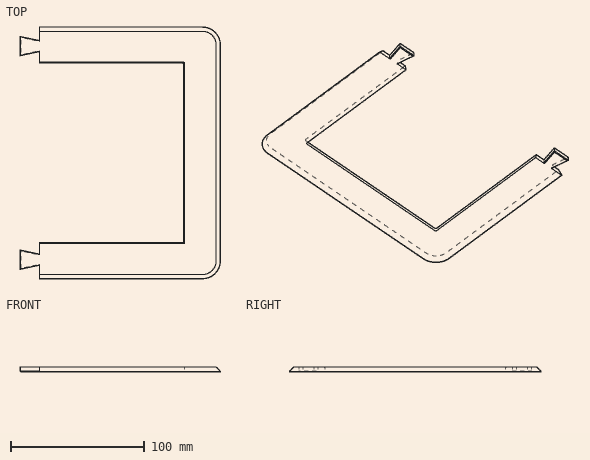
import cadquery as cq

length = 150.5
width = 189.0
thickness = 3.8

corner_radius = 13.6
lip_height = 0.5
bevel_height = thickness - lip_height
bevel_width = 3.4

arm_width = 27.2
opening_width = width - 2 * arm_width
opening_end = 122.8
wall_lean = 0.8
opening_corner_radius = 1.0

tail_length = 14.5
tail_neck_width = 8.3
tail_end_width = 14.5
tail_center_offset = width / 2 - 14.4
tail_bottom_chamfer = 0.5


def make_plate():
    """Solid plate with rounded far corners and a bevel along its three outer edges."""
    plate = (
        cq.Workplane("XY")
        .box(length - tail_length, width, thickness, centered=(False, True, False))
        .translate((tail_length, 0, 0))
        .edges("|Z and >X")
        .fillet(corner_radius)
    )
    return plate.faces(">Z").edges("not <X").chamfer(bevel_height, bevel_width)


def opening_outline(plane, lean):
    """Rectangle open towards the arm ends, enlarged by the wall lean."""
    depth = opening_end + lean
    return plane.center(depth / 2, 0).rect(depth, opening_width + 2 * lean)


def make_opening():
    """Cutter for the opening, wider at the top than at the bottom."""
    bottom = opening_outline(cq.Workplane("XY"), 0)
    top_plane = bottom.workplane(offset=thickness, origin=(0, 0, 0))
    cutter = opening_outline(top_plane, wall_lean).loft(ruled=True)
    return cutter.edges("not #Z").edges(">X").fillet(opening_corner_radius)


def make_tail(center_y):
    """Dovetail tongue, widening away from the arm, chamfered along its exposed bottom edges."""
    neck = tail_neck_width / 2
    end = tail_end_width / 2
    return (
        cq.Workplane("XY")
        .polyline([(tail_length, -neck), (0, -end), (0, end), (tail_length, neck)])
        .close()
        .extrude(thickness)
        .faces("<Z")
        .edges("not >X")
        .chamfer(tail_bottom_chamfer)
        .translate((0, center_y, 0))
    )


result = make_plate().cut(make_opening())
for side in (-1, 1):
    result = result.union(make_tail(side * tail_center_offset))